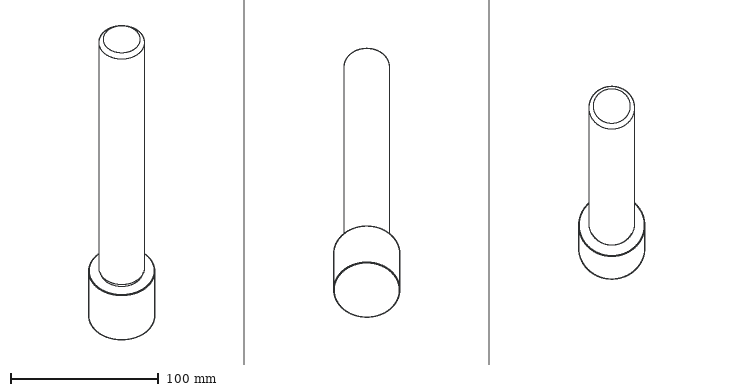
import cadquery as cq

total_length = 275.0
head_diameter = 45.0
head_height = 45.0
head_chamfer = 0.5

shank_diameter = 31.0
tip_chamfer = 3.0

neck_diameter = 29.0
neck_height = 3.0


def make_head():
    """Cylindrical head with both rims chamfered."""
    head = cq.Workplane("XY").circle(head_diameter / 2).extrude(head_height)
    return head.faces("<Z or >Z").chamfer(head_chamfer)


def make_neck():
    """Reduced diameter between the head and the shank."""
    neck = cq.Workplane("XY").workplane(offset=head_height)
    return neck.circle(neck_diameter / 2).extrude(neck_height)


def make_shank():
    """Long cylinder above the neck with a chamfered tip."""
    shank_start = head_height + neck_height
    shank = cq.Workplane("XY").workplane(offset=shank_start)
    shank = shank.circle(shank_diameter / 2).extrude(total_length - shank_start)
    return shank.faces(">Z").chamfer(tip_chamfer)


result = make_head().union(make_neck()).union(make_shank())